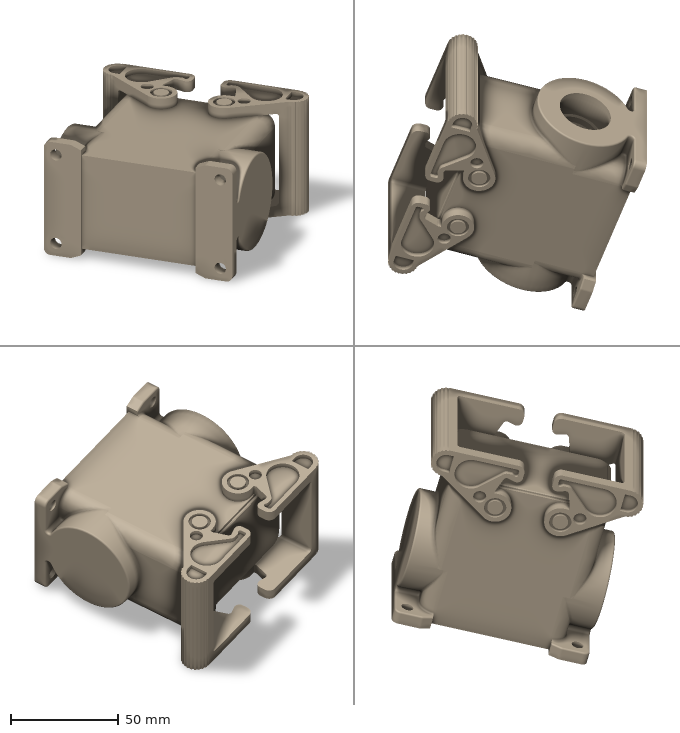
import cadquery as cq
import math


length = 96.9
half_width = 51.0
thickness = 58.0

body_front = 1.2
body_end = 80.1
body_depth = 47.0
body_width = 76.3
foot_width = 70.0
body_corner = 7.1
foot_corner = 7.2
body_draft = 0.25
lip_height = 1.1
lip_inset = 1.5
lip_chamfer = 0.4

boss_y = 30.3
boss_radius = 23.5
boss_face = 47.1
notch_radius = 1.5
entry_radius = 12.6
entry_depth = 13.3
knockout_radius = 10.6
knockout_depth = 3.1

outer_round = 0.8
root_round = 0.9

flange_inner = 28.6
flange_thickness = 6.2
flange_height = 57.7
flange_corner = 3.1
flange_cut_x = 5.0
flange_cut_z = 2.0
flange_cut_round = 2.3
screw_hole = 5.6
screw_x = 41.0
screw_z = 22.6

bar_radius = 7.1
bar_x = -half_width + bar_radius
bar_y = length - bar_radius
bar_inner = -40.2
window_round = 1.5
pivot_x = -15.7
pivot_y = 72.2
pivot_radius = 7.6
tip_x = -7.1
tip_upper_round = 3.5
tip_lower_round = 2.7
tip_bottom = 88.0
throat_top = 89.1
throat_round = 1.6
throat_center = (-14.2, throat_top - throat_round)
throat_wall_x = -18.0
throat_wall_y = 81.3
throat_wall_angle = 161

rim = 2.5
recess_depth = 2.5
lobe_x = -31.1
lobe_radius = 7.8
lobe_y = 87.0
recess_tip_round = 1.0
recess_tip_bottom = 90.7
recess_neck = 91.5
recess_neck_start = -12.3
recess_neck_round = 3.1
recess_slope = 45
recess_tip_end_angle = -120
grip_recess_radius = 4.6
grip_recess_flat = -41.2
detent_x = -24.2
detent_y = 76.2
detent_radius = 3.1
pin_radius = 3.7
pin_groove_radius = 5.2
pin_groove_depth = 1.5

rib_count = 12
rib_depth = 0.3

margin = 0.1


def polar(center, radius, degrees):
    """Point at an angle on a circle in the sketch plane."""
    angle = math.radians(degrees)
    return (center[0] + radius * math.cos(angle), center[1] + radius * math.sin(angle))


def arc(path, center, radius, start, end):
    """Continue a path with a circular arc between two angles."""
    return path.threePointArc(polar(center, radius, (start + end) / 2), polar(center, radius, end))


def boss_cylinder(radius, x_start, x_end):
    """Cylinder on the boss axis."""
    return cq.Workplane("YZ", origin=(x_start, boss_y, 0)).circle(radius).extrude(x_end - x_start)


def rounded_rectangle(width, depth, corner):
    """Rounded rectangle across the body at its mating end."""
    face = cq.Workplane("XZ", origin=(0, body_end, 0))
    return face.sketch().rect(width, depth).vertices().fillet(corner).finalize()


def drafted_block(width, corner, y_front):
    """Rounded block that widens from the mating end down to y_front."""
    profile = rounded_rectangle(width, body_depth, corner)
    return profile.extrude(body_end - y_front, taper=-body_draft)


def make_body():
    """Wide upper body on a narrower foot, with a sealing lip on the mating end."""
    upper = drafted_block(body_width, body_corner, boss_y)
    foot = drafted_block(foot_width, foot_corner, body_front)
    lip_profile = rounded_rectangle(
        body_width - 2 * lip_inset, body_depth - 2 * lip_inset, body_corner - lip_inset
    )
    lip = lip_profile.extrude(-lip_height).faces(">Y").chamfer(lip_chamfer)
    return upper.union(foot).union(lip)


def flange_plate():
    """Right-hand mounting flange with sloped inner corners."""
    top = flange_height / 2
    slope_x = flange_inner + flange_cut_x
    slope_z = top - flange_cut_z
    outline = [
        (boss_face, -top),
        (boss_face, top),
        (slope_x, top),
        (flange_inner, slope_z),
        (flange_inner, -slope_z),
        (slope_x, -top),
    ]
    plate = cq.Workplane("XZ").polyline(outline).close().extrude(-flange_thickness)
    plate = plate.edges("|Y and >X").fillet(flange_corner)
    slope_corners = cq.selectors.BoxSelector(
        (slope_x - margin, -length, -thickness), (slope_x + margin, length, thickness)
    )
    return plate.edges("|Y").edges(slope_corners).fillet(flange_cut_round)


def boss_prism():
    """Round boss along X with a neck to the flange and a round notch on each side of the neck."""
    center = (boss_y, 0)
    notch_y = flange_thickness + notch_radius
    notch_z = math.sqrt((boss_radius + notch_radius) ** 2 - (boss_y - notch_y) ** 2)
    touch = math.degrees(math.atan2(notch_z, boss_y - notch_y))

    path = cq.Workplane("YZ").moveTo(flange_thickness, notch_z)
    path = arc(path, (notch_y, notch_z), notch_radius, 180, 360 - touch)
    path = arc(path, center, boss_radius, 180 - touch, touch - 180)
    path = arc(path, (notch_y, -notch_z), notch_radius, touch, 180)
    return path.close().extrude(boss_face)


def make_mount():
    """Right-hand boss and flange joined, with their outer edges rounded and the screw holes."""
    mount = flange_plate().union(boss_prism())
    behind_plate = cq.selectors.BoxSelector(
        (boss_face - margin, flange_thickness - margin, -thickness), (boss_face + margin, length, thickness)
    )
    mount = mount.edges(behind_plate).fillet(outer_round)
    holes = (
        cq.Workplane("XZ")
        .pushPoints([(screw_x, -screw_z), (screw_x, screw_z)])
        .circle(screw_hole / 2)
        .extrude(-flange_thickness)
    )
    return mount.cut(holes)


def lever_outline():
    """Closed lever profile: bar, hook, throat and pivot eye."""
    bar = (bar_x, bar_y)
    pivot = (pivot_x, pivot_y)
    bar_bottom = (bar_x, bar_y - bar_radius)

    away = math.atan2(bar_bottom[1] - pivot_y, bar_bottom[0] - pivot_x)
    reach = math.dist(bar_bottom, pivot)
    tangent = math.degrees(away + math.acos(pivot_radius / reach)) - 360

    tip_upper = (tip_x - tip_upper_round, length - tip_upper_round)
    tip_lower = (tip_x - tip_lower_round, tip_bottom + tip_lower_round)

    tip_direction = math.atan2(tip_lower[1] - throat_center[1], tip_lower[0] - throat_center[0])
    tip_reach = math.dist(tip_lower, throat_center)
    crossing = math.degrees(tip_direction + math.acos((tip_lower_round + throat_round) / tip_reach))

    path = cq.Workplane("XY", origin=(0, 0, -thickness / 2)).moveTo(bar_x, length)
    path = path.lineTo(tip_upper[0], length)
    path = arc(path, tip_upper, tip_upper_round, 90, 0)
    path = path.lineTo(tip_x, tip_lower[1])
    path = arc(path, tip_lower, tip_lower_round, 0, crossing - 180)
    path = path.lineTo(*polar(throat_center, throat_round, crossing))
    path = arc(path, throat_center, throat_round, crossing, throat_wall_angle)
    path = path.lineTo(throat_wall_x, throat_wall_y)
    path = path.lineTo(throat_wall_x, pivot_y + pivot_radius).lineTo(pivot_x, pivot_y + pivot_radius)
    path = arc(path, pivot, pivot_radius, 90, tangent)
    path = path.lineTo(*bar_bottom)
    path = arc(path, bar, bar_radius, 270, 90)
    return path.close()


def hook_recess(z):
    """Pocket that follows the hook: a round lobe narrowing to a slot at the tip."""
    lobe = (lobe_x, lobe_y)
    top = lobe_y + lobe_radius
    tip_center_x = tip_x - rim - recess_tip_round
    tangent = polar(lobe, lobe_radius, -recess_slope)
    neck_x = tangent[0] + (recess_neck - tangent[1]) / math.tan(math.radians(recess_slope))
    neck_setback = recess_neck_round * math.tan(math.radians(recess_slope / 2))
    neck_center = (neck_x + neck_setback, recess_neck - recess_neck_round)
    tip_upper = (tip_center_x, top - recess_tip_round)
    tip_lower = (tip_center_x, recess_tip_bottom + recess_tip_round)

    path = cq.Workplane("XY", origin=(0, 0, z)).moveTo(lobe_x, top)
    path = path.lineTo(tip_center_x, top)
    path = arc(path, tip_upper, recess_tip_round, 90, 0)
    path = path.lineTo(*polar(tip_lower, recess_tip_round, 0))
    path = arc(path, tip_lower, recess_tip_round, 0, recess_tip_end_angle)
    path = path.lineTo(recess_neck_start, recess_neck).lineTo(neck_center[0], recess_neck)
    path = arc(path, neck_center, recess_neck_round, 90, 90 + recess_slope)
    path = path.lineTo(*tangent)
    path = arc(path, lobe, lobe_radius, -recess_slope, -270)
    return path.close().extrude(recess_depth)


def grip_recess(z):
    """D-shaped pocket in the end of the lever bar."""
    path = cq.Workplane("XY", origin=(0, 0, z)).moveTo(bar_x, bar_y + grip_recess_radius)
    path = arc(path, (bar_x, bar_y), grip_recess_radius, 90, 270)
    path = path.lineTo(grip_recess_flat, bar_y - grip_recess_radius)
    path = path.lineTo(grip_recess_flat, bar_y + grip_recess_radius)
    return path.close().extrude(recess_depth)


def face_recesses():
    """All pockets in the upper lever face."""
    floor = thickness / 2 - recess_depth
    groove_floor = thickness / 2 - pin_groove_depth
    detent = (
        cq.Workplane("XY", origin=(detent_x, detent_y, floor)).circle(detent_radius).extrude(recess_depth)
    )
    groove = (
        cq.Workplane("XY", origin=(pivot_x, pivot_y, groove_floor))
        .circle(pin_groove_radius)
        .circle(pin_radius)
        .extrude(pin_groove_depth)
    )
    return hook_recess(floor).union(grip_recess(floor)).union(detent).union(groove)


def grip_grooves():
    """Shallow grooves that leave raised ribs around the outer half of the lever bar."""
    bar = (bar_x, bar_y)
    pitch = 180 / rib_count
    lead = pitch / 4
    outer = bar_radius + rib_depth
    inner = bar_radius - rib_depth
    grooves = cq.Workplane("XY")
    for index in range(rib_count):
        start = 90 + lead + index * pitch
        end = start + pitch / 2
        path = cq.Workplane("XY", origin=(0, 0, -thickness / 2)).moveTo(*polar(bar, inner, start))
        path = arc(path, bar, inner, start, end).lineTo(*polar(bar, outer, end))
        path = arc(path, bar, outer, end, start)
        grooves = grooves.add(path.close().extrude(thickness))
    return grooves.combine()


def make_lever():
    """Left lever: two hooked side plates joined by the grip bar."""
    lever = lever_outline().extrude(thickness)
    window = (
        cq.Workplane("XY")
        .box(-bar_inner, 2 * length, body_depth)
        .translate((bar_inner / 2, 0, 0))
        .edges("|Y and <X")
        .fillet(window_round)
    )
    recesses = face_recesses()
    lever = lever.cut(window).cut(grip_grooves())
    return lever.cut(recesses).cut(recesses.mirror("XY"))


def cable_entry():
    """Blind stepped bore in the left boss."""
    shoulder = -boss_face + entry_depth
    bore = boss_cylinder(entry_radius, -boss_face, shoulder)
    return bore.union(boss_cylinder(knockout_radius, shoulder, shoulder + knockout_depth))


def make_housing():
    """Body with both mounts, rounded where bosses and flanges grow out of its side walls."""
    mount = make_mount()
    housing = make_body().union(mount).union(mount.mirror("YZ"))
    foot_half = foot_width / 2
    wall_half = body_width / 2
    boss_end = boss_y + boss_radius
    for side in (-1, 1):
        boss_root = cq.selectors.BoxSelector(
            (side * foot_half, boss_y, -boss_radius),
            (side * (wall_half + root_round), boss_end + margin, boss_radius),
        )
        flange_root = cq.selectors.BoxSelector(
            (side * (flange_inner + margin), flange_thickness - margin, -body_depth),
            (side * (foot_half + root_round), flange_thickness + margin, body_depth),
        )
        housing = housing.edges(boss_root).fillet(root_round)
        housing = housing.edges(flange_root).fillet(root_round)
    return housing.cut(cable_entry())


lever = make_lever()
result = make_housing().union(lever).union(lever.mirror("YZ"))